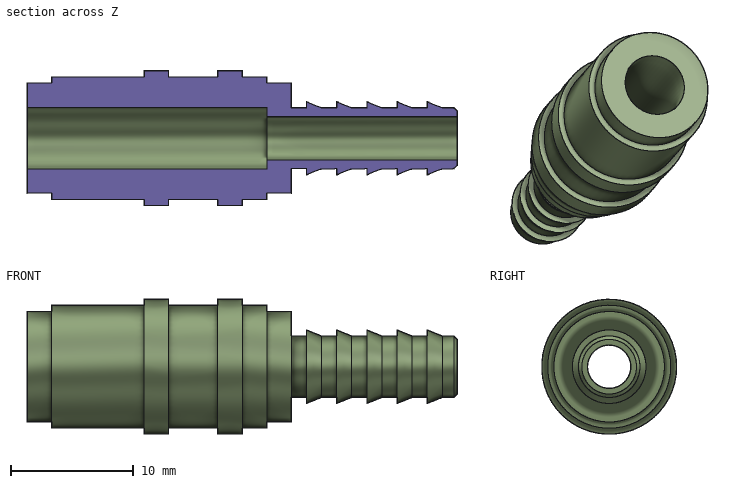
import cadquery as cq

total_length = 35.0
nose_diameter = 9.0
body_diameter = 10.0
collar_diameter = 11.0
stem_diameter = 5.0
barb_diameter = 6.0
bore_diameter = 3.5
socket_diameter = stem_diameter

step_length = 2.0
first_collar_start = 9.52
second_collar_start = 15.5
tail_end = 21.5
tip_chamfer = 0.28

barb_count = 5
stem_length = total_length - tail_end
barb_length = stem_length / (2 * barb_count + 1)

body_end = tail_end - step_length
socket_depth = body_end


def cylinder(start, end, diameter):
    """Solid cylinder along X between two positions."""
    return cq.Workplane("YZ").workplane(offset=start).circle(diameter / 2).extrude(end - start)


def barb(start):
    """Cone with a sharp shoulder facing the coupling, tapering down to the stem towards the tip."""
    profile = [
        (start, 0),
        (start, barb_diameter / 2),
        (start + barb_length, stem_diameter / 2),
        (start + barb_length, 0),
    ]
    return cq.Workplane("XZ").polyline(profile).close().revolve(360, (0, 0, 0), (1, 0, 0))


coupling = cylinder(0, tail_end, nose_diameter)
coupling = coupling.union(cylinder(step_length, body_end, body_diameter))
for collar_start in (first_collar_start, second_collar_start):
    coupling = coupling.union(cylinder(collar_start, collar_start + step_length, collar_diameter))

stem = cylinder(body_end, total_length, stem_diameter).faces(">X").edges().chamfer(tip_chamfer)
for index in range(barb_count):
    stem = stem.union(barb(tail_end + (2 * index + 1) * barb_length))

socket = cylinder(0, socket_depth, socket_diameter)
bore = cylinder(0, total_length, bore_diameter)

result = coupling.union(stem).cut(socket).cut(bore)